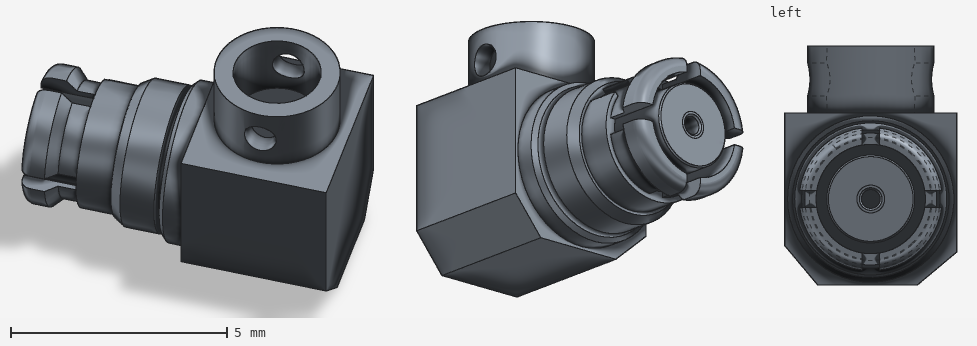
import cadquery as cq
import math

total_length = 7.49
block_start = 3.99
block_width = 3.99
half_width = block_width / 2
block_length = total_length - block_start
corner_long = 0.92
corner_short = 0.77

tube_top = 3.54
tube_radius = 1.46
tube_bore_radius = 1.02
tube_x = 5.74
cross_hole_radius = 0.38
cross_hole_z = (half_width + tube_top) / 2

bead_round = 0.255
bead_flat_end = 0.61
bead_end = 0.86
bead_radius = 1.655
barrel_radius = 1.4
ring_start = 1.33
ring_radius = 1.53
collar_start = 2.195
collar_full = 2.46
collar_front_radius = 1.6
collar_end = 3.27
collar_radius = 1.76
neck_radius = 1.42
flange_start = 3.415
flange_radius = 1.925
flange_chamfer = 0.11

finger_slot_width = 0.405
socket_radius = 1.265
socket_depth = collar_start
ring_gap_width = 0.525
ring_gap_angle = 45.0

core_front = 0.02
insulator_radius = 1.02
insulator_chamfer = 0.04
core_end = block_start
contact_radius = 0.32
contact_bore_radius = 0.22
contact_bore_chamfer = 0.045
contact_bore_depth = 1.12


def x_cylinder(radius, start, end):
    return cq.Workplane("YZ").workplane(offset=start).circle(radius).extrude(end - start)


def revolve_about_x(profile):
    return profile.close().revolve(360, (0, 0, 0), (1, 0, 0))


def make_block():
    outline = [
        (-half_width, half_width),
        (half_width, half_width),
        (half_width, -half_width + corner_long),
        (half_width - corner_short, -half_width),
        (-half_width + corner_long, -half_width),
        (-half_width, -half_width + corner_short),
    ]
    return cq.Workplane("YZ").workplane(offset=block_start).polyline(outline).close().extrude(block_length)


def make_tube():
    tube = (
        cq.Workplane("XY").workplane(offset=half_width).center(tube_x, 0)
        .circle(tube_radius).circle(tube_bore_radius).extrude(tube_top - half_width)
    )
    cross_hole = (
        cq.Workplane("XZ").center(tube_x, cross_hole_z)
        .circle(cross_hole_radius).extrude(half_width, both=True)
    )
    return tube.cut(cross_hole)


def make_turned_front():
    arc_mid = bead_round * (1 - math.sqrt(0.5))
    profile = (
        cq.Workplane("XY").moveTo(0, 0).lineTo(0, bead_radius - bead_round)
        .threePointArc((arc_mid, bead_radius - arc_mid), (bead_round, bead_radius))
        .lineTo(bead_flat_end, bead_radius)
        .lineTo(bead_end, barrel_radius)
        .lineTo(ring_start, barrel_radius)
        .lineTo(ring_start, ring_radius)
        .lineTo(collar_start, ring_radius)
        .lineTo(collar_start, collar_front_radius)
        .lineTo(collar_full, collar_radius)
        .lineTo(collar_end, collar_radius)
        .lineTo(collar_end, neck_radius)
        .lineTo(flange_start, neck_radius)
        .lineTo(flange_start, flange_radius - flange_chamfer)
        .lineTo(flange_start + flange_chamfer, flange_radius)
        .lineTo(block_start, flange_radius)
        .lineTo(block_start, 0)
    )
    return revolve_about_x(profile)


def make_finger_slots():
    """Crossed slots that split the front into four fingers."""
    slot = cq.Workplane("XY").box(
        ring_start, 2 * bead_radius, finger_slot_width, centered=(False, True, True)
    )
    return slot.union(slot.rotate((0, 0, 0), (1, 0, 0), 90))


def make_ring_gap():
    """Gap in the raised ring, down to the barrel surface."""
    gap = (
        cq.Workplane("XY")
        .box(collar_start - ring_start, collar_radius, ring_gap_width, centered=(False, False, True))
        .rotate((0, 0, 0), (1, 0, 0), ring_gap_angle)
        .translate((ring_start, 0, 0))
    )
    return gap.cut(x_cylinder(barrel_radius, ring_start, collar_start))


def make_housing():
    housing = make_turned_front().cut(x_cylinder(socket_radius, 0, socket_depth))
    housing = housing.cut(make_finger_slots()).cut(make_ring_gap())
    housing = housing.union(make_block()).union(make_tube())
    return housing.cut(x_cylinder(insulator_radius, 0, core_end))


def make_insulator():
    insulator = x_cylinder(insulator_radius, core_front, core_end)
    insulator = insulator.faces("<X").chamfer(insulator_chamfer)
    return insulator.cut(x_cylinder(contact_radius, core_front, core_end))


def make_contact():
    """Pin socket, flush with the insulator front."""
    contact = x_cylinder(contact_radius, core_front, core_end)
    bore = x_cylinder(contact_bore_radius, core_front, core_front + contact_bore_depth)
    bore_rim = cq.selectors.RadiusNthSelector(0)
    return contact.cut(bore).faces("<X").edges(bore_rim).chamfer(contact_bore_chamfer)


housing = make_housing()
insulator = make_insulator()
contact = make_contact()
result = cq.Compound.makeCompound([housing.val(), insulator.val(), contact.val()])